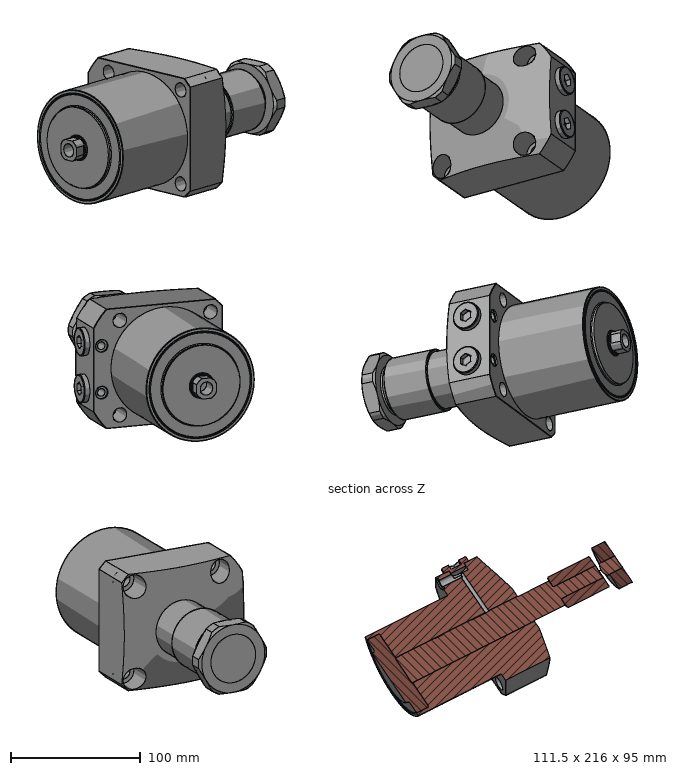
import cadquery as cq
import math


block_half_height = 47.5
block_right = 47.5
block_left = 59.5
block_depth = 46.2
left_corner_radius = 68.0
right_corner_chamfer = 5.8
back_land_radius = 27.9
back_cone_angle = 15.0
block_edge_chamfer = 0.32
bolt_spacing = 75.2
bolt_hole_diameter = 11.2
bolt_seat_diameter = 18.1
bolt_seat_y = 21.5

barrel_radius = 45.0
barrel_length = 73.9
barrel_edge_chamfer = 0.5

cover_radius = 42.0
cover_depth = 10.8
seam_chamfer = 0.6
boss_base_radius = 32.8
boss_radius = 32.0
boss_height = 2.5
boss_taper_height = 0.6

spindle_radius = 9.5
spindle_tip_radius = 8.9
spindle_collar_height = 0.6
spindle_flat_start = 2.2
spindle_flat_width = 16.2
spindle_length = 10.4
spindle_bore_diameter = 10.4
spindle_bore_depth = 13.0

rod_radius = 22.5
stud_radius = 19.7
relief_radius = 18.5
relief_end = 113.5
stud_thread_start = 115.3

sleeve_radius = 24.5
sleeve_front = 74.3
sleeve_back = 111.9
sleeve_chamfer = 0.6

nut_front = 117.0
nut_back = 129.2
nut_flat_width = 55.3
nut_corner_radius = 30.0
nut_chamfer_angle = 30.0

port_spacing = 37.2
port_y = 18.8
port_bore_radius = 6.5
port_bore_end = 52.7
passage_radius = 1.5
plug_head_radius = 11.0
plug_head_height = 4.5
plug_head_chamfer = 0.6
plug_shank_length = 3.2
plug_socket_width = 8.9
plug_socket_depth = 4.3
face_port_x = -52.5
face_port_diameter = 6.0
face_port_recess_diameter = 10.0
face_port_recess_depth = 1.3

barrel_front = -barrel_length
boss_front = barrel_front - boss_height
spindle_front = boss_front - spindle_length
cover_back = barrel_front + cover_depth
port_heights = [-port_spacing / 2, port_spacing / 2]


def turned(profile):
    """Solid of revolution about Y from (radius, y) points."""
    return cq.Workplane("XY").polyline(profile).close().revolve(360, (0, 0), (0, 1))


def cylinder_y(radius, start, end):
    return cq.Workplane("XZ", origin=(0, start, 0)).circle(radius).extrude(start - end)


def prism_y(outline, start, end):
    """Extrude an outline, drawn in X and Z, from y = start to y = end."""
    return outline(cq.Workplane("XZ", origin=(0, start, 0))).extrude(start - end)


def hexagon_points(flat_width):
    """Corners of a hexagon whose flats face up and down."""
    corner = flat_width / math.sqrt(3)
    angles = [math.radians(60 * i) for i in range(6)]
    return [(corner * math.cos(a), corner * math.sin(a)) for a in angles]


def block_outline(plane):
    top = block_half_height
    arc_x = -math.sqrt(left_corner_radius**2 - top**2)
    arc_z = math.sqrt(left_corner_radius**2 - block_left**2)
    mid_angle = (math.atan2(top, arc_x) + math.atan2(arc_z, -block_left)) / 2
    mid_x = left_corner_radius * math.cos(mid_angle)
    mid_z = left_corner_radius * math.sin(mid_angle)
    chamfer_x = block_right - right_corner_chamfer
    chamfer_z = top - right_corner_chamfer
    return (
        plane.moveTo(arc_x, top)
        .lineTo(chamfer_x, top)
        .lineTo(block_right, chamfer_z)
        .lineTo(block_right, -chamfer_z)
        .lineTo(chamfer_x, -top)
        .lineTo(arc_x, -top)
        .threePointArc((mid_x, -mid_z), (-block_left, -arc_z))
        .lineTo(-block_left, arc_z)
        .threePointArc((mid_x, mid_z), (arc_x, top))
        .close()
    )


def make_block():
    block = prism_y(block_outline, 0, block_depth).faces("<Y").chamfer(block_edge_chamfer)

    cone_drop = (left_corner_radius - back_land_radius) * math.tan(math.radians(back_cone_angle))
    crown = turned([
        (0, 0),
        (left_corner_radius, 0),
        (left_corner_radius, block_depth - cone_drop),
        (back_land_radius, block_depth),
        (0, block_depth),
    ])
    return block.intersect(crown)


def bolt_cylinders(diameter, start):
    """Four cylinders on the bolt square, from y = start to the back of the block."""
    return (
        cq.Workplane("XZ", origin=(0, start, 0))
        .rect(bolt_spacing, bolt_spacing, forConstruction=True)
        .vertices()
        .circle(diameter / 2)
        .extrude(start - block_depth)
    )


def make_port_cuts(height):
    """Plug bore, its passage to the rod bore and the counterbored port in the front face."""
    side = cq.Workplane("YZ", origin=(-block_left, port_y, height))
    bore = side.circle(port_bore_radius).extrude(block_left - port_bore_end)
    passage = side.circle(passage_radius).extrude(block_left)
    face = cq.Workplane("XZ", origin=(face_port_x, 0, height))
    hole = face.circle(face_port_diameter / 2).extrude(-port_y)
    recess = face.circle(face_port_recess_diameter / 2).extrude(-face_port_recess_depth)
    return bore.union(passage).union(hole).union(recess)


def make_housing():
    barrel = cylinder_y(barrel_radius, barrel_front, 0).faces("<Y").chamfer(barrel_edge_chamfer)
    housing = make_block().union(barrel)
    housing = housing.cut(bolt_cylinders(bolt_hole_diameter, 0))
    housing = housing.cut(bolt_cylinders(bolt_seat_diameter, bolt_seat_y))
    for height in port_heights:
        housing = housing.cut(make_port_cuts(height))

    recess = turned([
        (0, barrel_front),
        (cover_radius + seam_chamfer, barrel_front),
        (cover_radius, barrel_front + seam_chamfer),
        (cover_radius, cover_back),
        (0, cover_back),
    ])
    return housing.cut(recess).cut(cylinder_y(rod_radius, cover_back, block_depth))


def make_cover():
    return turned([
        (spindle_radius, cover_back),
        (cover_radius, cover_back),
        (cover_radius, barrel_front + seam_chamfer),
        (cover_radius - seam_chamfer, barrel_front),
        (boss_base_radius, barrel_front),
        (boss_radius, barrel_front - boss_taper_height),
        (boss_radius, boss_front),
        (spindle_radius + seam_chamfer, boss_front),
        (spindle_radius, boss_front + seam_chamfer),
    ])


def make_spindle():
    collar_front = boss_front - spindle_collar_height
    flat_start = boss_front - spindle_flat_start
    taper_height = spindle_radius - spindle_tip_radius
    spindle = turned([
        (0, cover_back),
        (spindle_radius, cover_back),
        (spindle_radius, collar_front),
        (spindle_tip_radius, collar_front - taper_height),
        (spindle_tip_radius, flat_start),
        (0, flat_start),
    ])

    tip = cylinder_y(spindle_tip_radius, spindle_front, flat_start).intersect(
        prism_y(lambda plane: plane.rect(spindle_flat_width, spindle_flat_width), spindle_front, flat_start)
    )
    bore = cylinder_y(spindle_bore_diameter / 2, spindle_front, spindle_front + spindle_bore_depth)
    return spindle.union(tip).cut(bore)


def make_rod():
    return turned([
        (0, cover_back),
        (rod_radius, cover_back),
        (rod_radius, sleeve_front),
        (stud_radius, sleeve_front),
        (stud_radius, sleeve_back),
        (relief_radius, sleeve_back),
        (relief_radius, relief_end),
        (stud_radius, stud_thread_start),
        (stud_radius, nut_back),
        (0, nut_back),
    ])


def make_sleeve():
    blank = cylinder_y(sleeve_radius, sleeve_front, sleeve_back).faces("<Y or >Y").chamfer(sleeve_chamfer)
    return blank.cut(cylinder_y(stud_radius, sleeve_front, sleeve_back))


def make_nut():
    hexagon = prism_y(lambda plane: plane.polyline(hexagon_points(nut_flat_width)).close(), nut_front, nut_back)

    face_radius = nut_flat_width / 2
    cone_height = (nut_corner_radius - face_radius) * math.tan(math.radians(nut_chamfer_angle))
    envelope = turned([
        (stud_radius, nut_front),
        (face_radius, nut_front),
        (nut_corner_radius, nut_front + cone_height),
        (nut_corner_radius, nut_back - cone_height),
        (face_radius, nut_back),
        (stud_radius, nut_back),
    ])
    return hexagon.intersect(envelope)


def make_plug(height):
    side = cq.Workplane("YZ", origin=(-block_left, port_y, height))
    head = side.circle(plug_head_radius).extrude(-plug_head_height).faces("<X").chamfer(plug_head_chamfer)
    shank = side.circle(port_bore_radius).extrude(plug_shank_length)

    socket = (
        side.workplane(offset=-plug_head_height)
        .transformed(rotate=(0, 0, 90))
        .polyline(hexagon_points(plug_socket_width))
        .close()
        .extrude(plug_socket_depth)
    )
    return head.union(shank).cut(socket)


housing = make_housing()
cover = make_cover()
spindle = make_spindle()
rod = make_rod()
sleeve = make_sleeve()
nut = make_nut()
plugs = [make_plug(height) for height in port_heights]

result = cq.Compound.makeCompound([
    housing.val(),
    cover.val(),
    spindle.val(),
    rod.val(),
    sleeve.val(),
    nut.val(),
    *[plug.val() for plug in plugs],
])